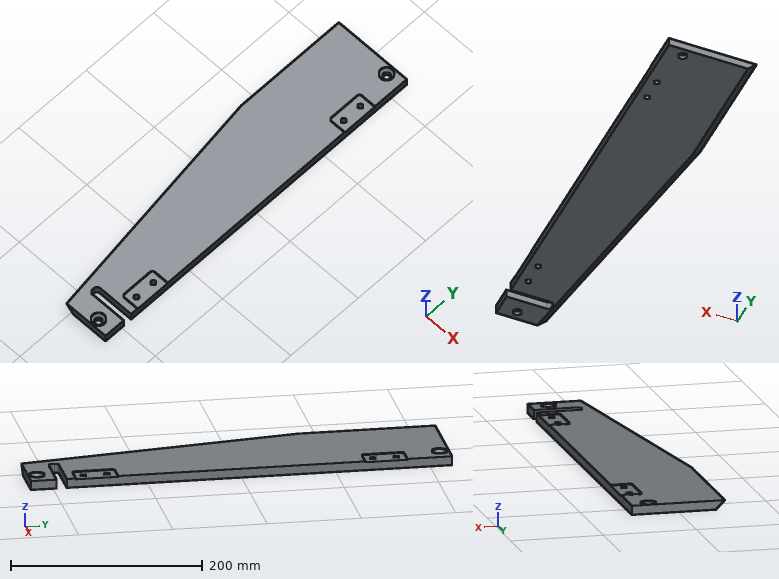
import cadquery as cq

length = 447.0
width = 100.0
thickness = 10.0
straight_length = 145.0
front_left_x = 43.0
bevel_run = thickness

mount_diameter = 9.0
countersink_diameter = 16.0
countersink_angle = 90
head_sink = 1.0
mount_x = width - 20.0
mount_end_distance = 10.0

recess_width = 23.0
recess_length = 44.5
recess_depth = 1.0
recess_corner_radius = 3.0
recess_centers_y = (70.0, length - 69.7)
screw_diameter = 6.0
screw_spacing = 25.0
screw_x = width - 11.5

slot_length = 50.0
slot_width = 10.7
slot_center_y = 32.5
slot_corner_radius = 4.0


def open_cutter(cut_length, cut_width, center_y, corner_radius, depth):
    """Block cutting down from the top and in from the right, with rounded inner corners."""
    return (
        cq.Workplane("XY", origin=(width - cut_length, center_y, thickness - depth))
        .rect(2 * cut_length, cut_width)
        .extrude(depth)
        .translate((cut_length, 0, 0))
        .edges("|Z and <X")
        .fillet(corner_radius)
    )


def make_plate():
    return (
        cq.Workplane("XY")
        .polyline([
            (front_left_x, 0),
            (width, 0),
            (width, length),
            (0, length),
            (0, length - straight_length),
        ])
        .close()
        .extrude(thickness)
    )


def bevel_cutter():
    """Wedge under the left edge, swept along both of its stretches."""
    kink_y = length - straight_length
    overrun = kink_y / 10
    overrun_x = front_left_x * (1 + overrun / kink_y)
    path = (
        cq.Workplane("XY")
        .moveTo(0, length)
        .lineTo(0, kink_y)
        .lineTo(overrun_x, -overrun)
    )
    return (
        cq.Workplane("XZ", origin=(0, length, 0))
        .polyline([(-bevel_run, 0), (bevel_run, 0), (0, thickness), (-bevel_run, thickness)])
        .close()
        .sweep(path, transition="right")
    )


plate = make_plate().cut(bevel_cutter())

for center_y in recess_centers_y:
    plate = plate.cut(
        open_cutter(recess_width, recess_length, center_y, recess_corner_radius, recess_depth)
    )

plate = plate.cut(
    open_cutter(slot_length, slot_width, slot_center_y, slot_corner_radius, thickness)
)

screw_points = [
    (screw_x, center_y + side * screw_spacing / 2)
    for center_y in recess_centers_y
    for side in (-1, 1)
]
mount_points = [(mount_x, mount_end_distance), (mount_x, length - mount_end_distance)]

result = (
    plate
    .copyWorkplane(cq.Workplane("XY", origin=(0, 0, thickness)))
    .pushPoints(screw_points)
    .hole(screw_diameter)
    .copyWorkplane(cq.Workplane("XY", origin=(0, 0, thickness)))
    .pushPoints(mount_points)
    .cboreHole(mount_diameter, countersink_diameter, head_sink)
    .copyWorkplane(cq.Workplane("XY", origin=(0, 0, thickness - head_sink)))
    .pushPoints(mount_points)
    .cskHole(mount_diameter, countersink_diameter, countersink_angle)
)